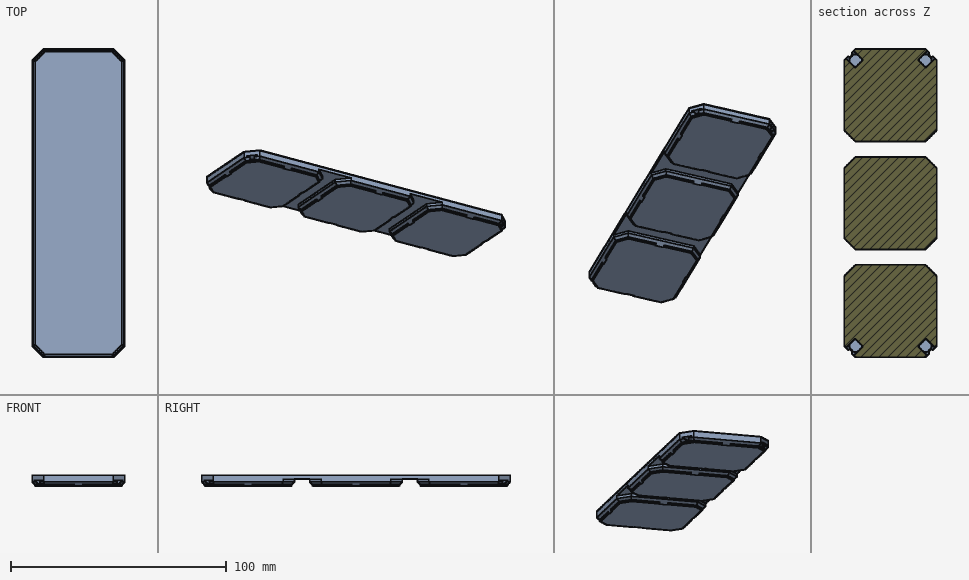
import cadquery as cq
import math

foot_size = 43.0
foot_pitch = 50.0
foot_count = 3
total_height = 5.1
slab_bottom = 3.3
corner_cut = 5.3

plate_length = foot_size + (foot_count - 1) * foot_pitch

bottom_bevel = 0.4
neck_height = 0.4
shoulder_bevel = 1.2
neck_top = bottom_bevel + neck_height
shoulder_top = neck_top + shoulder_bevel

relief_width = 4.0

rim_width = 0.5
recess_depth = 0.9

pocket_width = 5.0
pocket_depth = 6.0
pocket_floor = 1.2
pocket_top = 2.8
pocket_top_inset = 1.05


def clipped_rectangle(length, inset):
    """Corner points of a rectangle one foot wide with 45 degree corner cuts, shrunk evenly by inset."""
    half_x = foot_size / 2 - inset
    half_y = length / 2 - inset
    leg = corner_cut - inset * (2 - math.sqrt(2))
    return [
        (half_x, half_y - leg),
        (half_x - leg, half_y),
        (-half_x + leg, half_y),
        (-half_x, half_y - leg),
        (-half_x, -half_y + leg),
        (-half_x + leg, -half_y),
        (half_x - leg, -half_y),
        (half_x, -half_y + leg),
    ]


def clipped_block(length, z_low, inset_low, z_high, inset_high):
    """Block one foot wide whose edge inset changes from inset_low to inset_high."""
    return (
        cq.Workplane("XY", origin=(0, 0, z_low))
        .polyline(clipped_rectangle(length, inset_low)).close()
        .workplane(offset=z_high - z_low)
        .polyline(clipped_rectangle(length, inset_high)).close()
        .loft(ruled=True)
    )


def make_side_relief():
    """Wedge that carries the shoulder bevel down to the bottom at the middle of the +X side."""
    side = foot_size / 2
    profile = [(side, shoulder_top), (side - shoulder_top, 0), (side, 0)]
    return cq.Workplane("XZ").polyline(profile).close().extrude(relief_width / 2, both=True)


def make_foot():
    bottom_inset = shoulder_bevel + bottom_bevel
    foot = clipped_block(foot_size, 0, bottom_inset, bottom_bevel, shoulder_bevel)
    foot = foot.union(clipped_block(foot_size, bottom_bevel, shoulder_bevel, neck_top, shoulder_bevel))
    foot = foot.union(clipped_block(foot_size, neck_top, shoulder_bevel, shoulder_top, 0))
    foot = foot.union(clipped_block(foot_size, shoulder_top, 0, slab_bottom, 0))
    relief = make_side_relief()
    for quarter_turn in range(4):
        foot = foot.cut(relief.rotate((0, 0, 0), (0, 0, 1), quarter_turn * 90))
    return foot


def make_corner_pocket():
    """Diagonal pocket for the (-X, -Y) corner, with 45 degree walls beside the two foot sides."""
    corner_x = -foot_size / 2
    corner_y = -plate_length / 2
    height = pocket_top - pocket_floor
    reach = corner_cut / math.sqrt(2) + pocket_depth
    pocket = (
        cq.Workplane("XY", origin=(corner_x, corner_y, pocket_floor))
        .transformed(rotate=(0, 0, 45))
        .rect(2 * reach, pocket_width)
        .extrude(height)
    )
    far_edge = foot_size / 2
    profile = [
        (pocket_top_inset, pocket_top),
        (pocket_top_inset + height, pocket_floor),
        (far_edge, pocket_floor),
        (far_edge, pocket_top),
    ]
    beside_x_side = cq.Workplane("XZ", origin=(corner_x, corner_y, 0)).polyline(profile).close()
    beside_y_side = cq.Workplane("YZ", origin=(corner_x, corner_y, 0)).polyline(profile).close()
    pocket = pocket.intersect(beside_x_side.extrude(-far_edge))
    return pocket.intersect(beside_y_side.extrude(far_edge))


def make_recess():
    floor = total_height - recess_depth
    return clipped_block(plate_length, floor, rim_width + recess_depth, total_height, rim_width)


plate = clipped_block(plate_length, slab_bottom, 0, total_height, 0)
for index in range(foot_count):
    foot_y = (index - (foot_count - 1) / 2) * foot_pitch
    plate = plate.union(make_foot().translate((0, foot_y, 0)))
plate = plate.cut(make_recess())

corner_pocket = make_corner_pocket()
pocket_pair = corner_pocket.union(corner_pocket.mirror("YZ"))
result = plate.cut(pocket_pair).cut(pocket_pair.mirror("XZ"))